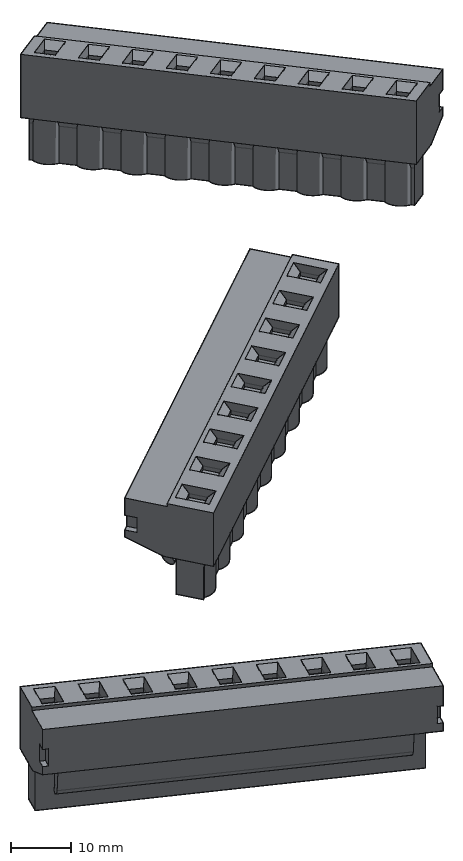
import cadquery as cq

length = 68.6
depth = 15.5
height = 19.8
pole_count = 9
pitch = length / pole_count
pole_centres = [(i + 0.5) * pitch for i in range(pole_count)]

plug_height = 8.4
step_y = 8.1
step_drop = 0.6
slope_start_y = 8.7
slope_rise = 2.5

skirt_end_gap = 0.9
skirt_front_y = 2.05
skirt_back_y = 6.8
flare_depth = 0.4
flare_height = 1.65

column_front_y = 0.95
column_width = 4.5

opening_width = 3.65
opening_length = 5.9
opening_centre_y = 4.3
throat_width = 2.8
throat_length = 3.2
funnel_depth = 1.4
throat_depth = 0.8

recess_width = 1.0
recess_depth = 2.1
recess_height = 3.15
recess_top_drop = 4.3

latch_root_y = 10.8
latch_knee_y = 10.15
latch_front_y = 8.45
latch_tip_y = 8.0
latch_bottom_y = 8.85
latch_knee_drop = 3.4
latch_notch_drop = 3.2
latch_tip_drop = 4.0
latch_bottom_drop = 4.65
latch_bulge = 0.15
latch_nose_y = 8.2
latch_nose_drop = 4.5


def extrude_along_x(profile, start, end):
    """Extrude a YZ profile between two X positions."""
    return profile.extrude(end - start).translate((start, 0, 0))


def make_housing():
    profile = (
        cq.Workplane("YZ")
        .moveTo(0, plug_height)
        .lineTo(slope_start_y, plug_height)
        .lineTo(depth, plug_height + slope_rise)
        .lineTo(depth, height - step_drop)
        .lineTo(step_y, height - step_drop)
        .lineTo(step_y, height)
        .lineTo(0, height)
        .close()
    )
    return profile.extrude(length)


def make_skirt():
    profile = (
        cq.Workplane("YZ")
        .moveTo(skirt_front_y, 0)
        .lineTo(skirt_back_y, 0)
        .lineTo(skirt_back_y, plug_height)
        .lineTo(skirt_front_y - flare_depth, plug_height)
        .lineTo(skirt_front_y, plug_height - flare_height)
        .close()
    )
    return extrude_along_x(profile, skirt_end_gap, length - skirt_end_gap)


def make_columns():
    bulge = skirt_front_y - column_front_y
    radius = (column_width**2 / 4 + bulge**2) / (2 * bulge)
    return (
        cq.Workplane("XY")
        .pushPoints([(x, column_front_y + radius) for x in pole_centres])
        .circle(radius)
        .extrude(plug_height)
    )


def make_opening(x):
    funnel = (
        cq.Workplane("XY", origin=(x, opening_centre_y, height))
        .rect(opening_width, opening_length)
        .workplane(offset=-funnel_depth)
        .rect(throat_width, throat_length)
        .loft(ruled=True)
    )
    throat = (
        cq.Workplane("XY", origin=(x, opening_centre_y, height - funnel_depth))
        .rect(throat_width, throat_length)
        .extrude(-throat_depth)
    )
    return funnel.union(throat)


def make_end_recess(start):
    block = cq.Workplane("XY").box(recess_width, recess_depth, recess_height, centered=False)
    bottom_z = height - recess_top_drop - recess_height
    return block.translate((start, depth - recess_depth, bottom_z))


def make_latch():
    def below(drop):
        return plug_height - drop

    root_z = plug_height + slope_rise * (latch_root_y - slope_start_y) / (depth - slope_start_y)
    middle_y = (latch_knee_y + latch_bottom_y) / 2
    middle_z = below((latch_knee_drop + latch_bottom_drop) / 2)
    profile = (
        cq.Workplane("YZ")
        .moveTo(latch_root_y, root_z)
        .lineTo(latch_knee_y, below(latch_knee_drop))
        .threePointArc(
            (middle_y + latch_bulge, middle_z - latch_bulge),
            (latch_bottom_y, below(latch_bottom_drop)),
        )
        .threePointArc((latch_nose_y, below(latch_nose_drop)), (latch_tip_y, below(latch_tip_drop)))
        .lineTo(latch_front_y, below(latch_notch_drop))
        .lineTo(latch_front_y, root_z)
        .close()
    )
    return extrude_along_x(profile, pole_centres[0], pole_centres[-1])


result = make_housing().union(make_skirt()).union(make_columns()).union(make_latch())
for pole_x in pole_centres:
    result = result.cut(make_opening(pole_x))
for recess_x in (0, length - recess_width):
    result = result.cut(make_end_recess(recess_x))